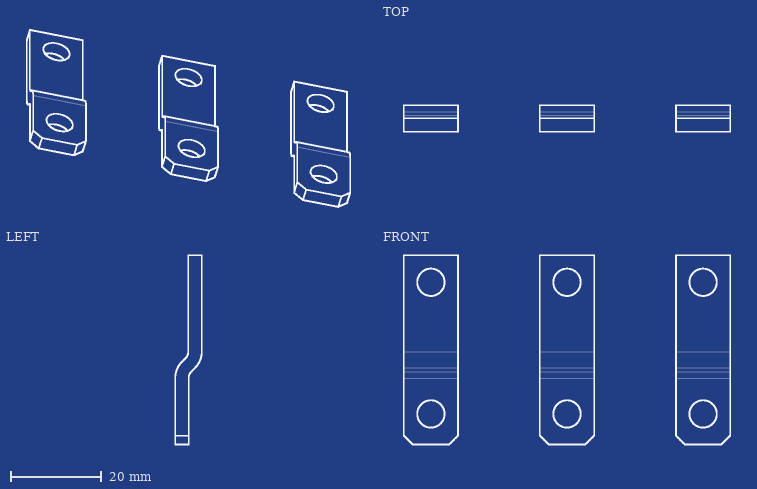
import cadquery as cq
import math

row_length = 72.0
strap_count = 3
strap_width = 12.0
strap_pitch = (row_length - strap_width) / (strap_count - 1)

strap_height = 41.75
total_depth = 5.9
thickness = 3.0
leg_offset = total_depth - thickness
bend_angle = math.radians(45)
inner_radius = 2.0
outer_radius = inner_radius + thickness
lower_bend_z = 14.7

arcs_height = (inner_radius + outer_radius) * math.sin(bend_angle)
arcs_depth = (inner_radius + outer_radius) * (1 - math.cos(bend_angle))
bend_height = arcs_height + (leg_offset - arcs_depth) / math.tan(bend_angle)
upper_bend_z = lower_bend_z + bend_height

hole_diameter = 6.0
upper_hole_z = strap_height - hole_diameter
lower_hole_z = 6.8
corner_chamfer = 2.0


def lower_arc_point(radius, angle):
    """Point (y, z) on the lower bend, angle measured from its start at the lower leg."""
    center_y = leg_offset - inner_radius
    return (center_y + radius * math.cos(angle), lower_bend_z + radius * math.sin(angle))


def upper_arc_point(radius, angle):
    """Point (y, z) on the upper bend, angle measured from its end at the upper leg."""
    center_y = thickness + inner_radius
    return (center_y - radius * math.cos(angle), upper_bend_z - radius * math.sin(angle))


def make_bent_plate():
    half_angle = bend_angle / 2
    return (
        cq.Workplane("YZ")
        .moveTo(leg_offset, 0)
        .lineTo(*lower_arc_point(inner_radius, 0))
        .threePointArc(lower_arc_point(inner_radius, half_angle), lower_arc_point(inner_radius, bend_angle))
        .lineTo(*upper_arc_point(outer_radius, bend_angle))
        .threePointArc(upper_arc_point(outer_radius, half_angle), upper_arc_point(outer_radius, 0))
        .lineTo(0, strap_height)
        .lineTo(thickness, strap_height)
        .lineTo(*upper_arc_point(inner_radius, 0))
        .threePointArc(upper_arc_point(inner_radius, half_angle), upper_arc_point(inner_radius, bend_angle))
        .lineTo(*lower_arc_point(outer_radius, bend_angle))
        .threePointArc(lower_arc_point(outer_radius, half_angle), lower_arc_point(outer_radius, 0))
        .lineTo(total_depth, 0)
        .close()
        .extrude(strap_width / 2, both=True)
    )


def make_hole_cutters():
    return (
        cq.Workplane("XZ")
        .pushPoints([(0, lower_hole_z), (0, upper_hole_z)])
        .circle(hole_diameter / 2)
        .extrude(-total_depth)
    )


def make_strap(center_x):
    plate = make_bent_plate()
    chamfered = plate.faces("<Z").edges("|Y").chamfer(corner_chamfer)
    return chamfered.cut(make_hole_cutters()).translate((center_x, 0, 0))


straps = []
for index in range(strap_count):
    strap_x = (index - (strap_count - 1) / 2) * strap_pitch
    straps.append(make_strap(strap_x).solids().val())

result = cq.Compound.makeCompound(straps)